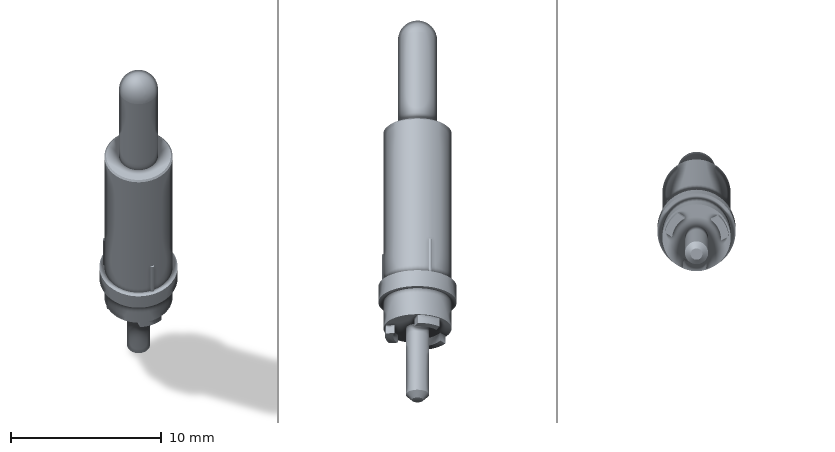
import cadquery as cq
import math

total_height = 27.6
housing_top = 19.6
collar_top = 8.28
collar_bottom = 7.12
housing_bottom = 5.22
foot_height = 0.58
rib_height = 2.48

collar_radius = 2.6
housing_radius = 2.25
housing_chamfer = 0.1
plunger_radius = 1.3
tail_radius = 0.77
tail_chamfer = 0.4

repeat_count = 3
rib_radius = 0.15
rib_projection = 0.1
foot_outer_radius = 2.15
foot_inner_radius = 1.63
foot_width = 1.55


def cylinder(radius, bottom, top):
    return cq.Workplane("XY").workplane(offset=bottom).circle(radius).extrude(top - bottom)


def around_axis(feature):
    """Copies of a feature, equally spaced around Z."""
    step = 360 / repeat_count
    return [feature.rotate((0, 0, 0), (0, 0, 1), i * step) for i in range(repeat_count)]


def make_pin():
    """Domed plunger and thinner chamfered tail, turned as one piece."""
    dome_base = total_height - plunger_radius
    dome_middle = (
        plunger_radius * math.cos(math.pi / 4),
        dome_base + plunger_radius * math.sin(math.pi / 4),
    )
    return (
        cq.Workplane("XZ")
        .moveTo(0, 0)
        .lineTo(tail_radius - tail_chamfer, 0)
        .lineTo(tail_radius, tail_chamfer)
        .lineTo(tail_radius, housing_bottom)
        .lineTo(plunger_radius, housing_bottom)
        .lineTo(plunger_radius, dome_base)
        .threePointArc(dome_middle, (0, total_height))
        .close()
        .revolve(360, (0, 0, 0), (0, 1, 0))
    )


def make_rib():
    """Upright rounded rib on the housing wall, standing on the collar."""
    rib_centre = housing_radius + rib_projection - rib_radius
    return cylinder(rib_radius, collar_top, collar_top + rib_height).translate((rib_centre, 0, 0))


def make_foot():
    """Parallel-sided piece of a ring below the housing."""
    foot_bottom = housing_bottom - foot_height
    ring = cylinder(foot_outer_radius, foot_bottom, housing_bottom).cut(
        cylinder(foot_inner_radius, foot_bottom, housing_bottom)
    )
    strip = (
        cq.Workplane("XY")
        .workplane(offset=foot_bottom)
        .center(foot_outer_radius / 2, 0)
        .rect(foot_outer_radius, foot_width)
        .extrude(foot_height)
    )
    return ring.intersect(strip)


def make_housing(pin):
    """Collared sleeve with ribs and feet, bored to fit the pin."""
    sleeve = cylinder(housing_radius, housing_bottom, housing_top).faces(">Z").chamfer(housing_chamfer)
    housing = sleeve.union(cylinder(collar_radius, collar_bottom, collar_top))
    for feature in around_axis(make_rib()) + around_axis(make_foot()):
        housing = housing.union(feature)
    return housing.cut(pin)


pin = make_pin()
housing = make_housing(pin)

result = cq.Compound.makeCompound([housing.val(), pin.val()])